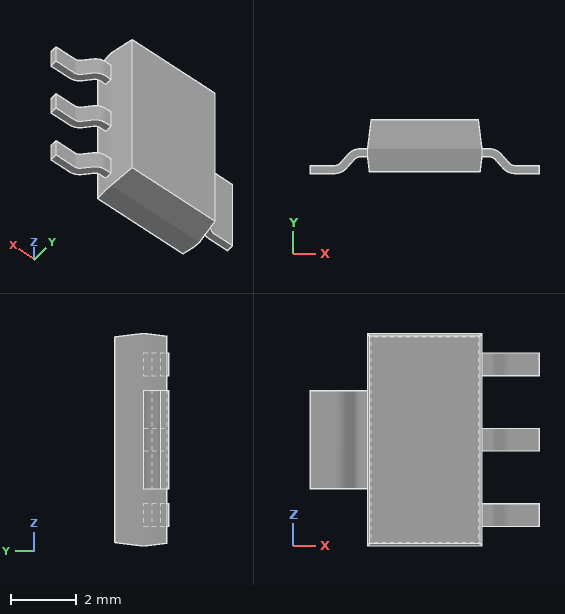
import cadquery as cq
import math

overall_width = 7.0
body_width = 3.5
body_length = 6.5
body_back = 1.65
standoff = 0.055
draft_slope = math.tan(math.radians(7))

lead_thickness = 0.25
lead_back = 0.77
foot_length = 0.735
bend_angle = math.radians(48)
inner_radius = lead_thickness
outer_radius = inner_radius + lead_thickness
lead_embed = 0.14
pin_width = 0.7
pin_pitch = 2.3
tab_width = 3.0

lead_front = lead_back - lead_thickness
lead_tip = overall_width / 2


def tapered_profile(plane, width, band_front, depth):
    """Extrude a section that narrows both ways from a straight band ending at lead_back."""
    half = width / 2
    half_front = half - (band_front - standoff) * draft_slope
    half_back = half - (body_back - lead_back) * draft_slope
    right_side = [(half_front, standoff), (half, band_front)]
    if band_front < lead_back:
        right_side.append((half, lead_back))
    right_side.append((half_back, body_back))
    left_side = [(-across, y) for across, y in reversed(right_side)]
    return cq.Workplane(plane).polyline(right_side + left_side).close().extrude(depth / 2, both=True)


def make_body():
    """Body with a straight lead-thick band on its X sides and a single ridge on its Z ends."""
    end_plane = cq.Plane(origin=(0, 0, 0), xDir=(0, 0, 1), normal=(-1, 0, 0))
    x_sides = tapered_profile("XY", body_width, lead_front, body_length)
    z_ends = tapered_profile(end_plane, body_length, lead_back, body_width)
    return x_sides.intersect(z_ends)


def make_lead(width, z_center):
    """Gull-wing lead on the +X side, from the foot tip into the body."""
    rise = lead_front
    bend_rise = (inner_radius + outer_radius) * (1 - math.cos(bend_angle))
    ramp_run = (rise - bend_rise) / math.tan(bend_angle)
    bend_run = (inner_radius + outer_radius) * math.sin(bend_angle)
    foot_end = lead_tip - foot_length
    shoulder_end = foot_end - ramp_run - bend_run
    inside_x = body_width / 2 - lead_embed

    def foot_point(radius, angle):
        x = foot_end - radius * math.sin(angle)
        return (x, outer_radius - radius * math.cos(angle))

    def shoulder_point(radius, angle):
        x = shoulder_end + radius * math.sin(angle)
        return (x, lead_back - outer_radius + radius * math.cos(angle))

    half_bend = bend_angle / 2
    return (
        cq.Workplane("XY", origin=(0, 0, z_center))
        .moveTo(lead_tip, 0)
        .lineTo(foot_end, 0)
        .threePointArc(foot_point(outer_radius, half_bend), foot_point(outer_radius, bend_angle))
        .lineTo(*shoulder_point(inner_radius, bend_angle))
        .threePointArc(shoulder_point(inner_radius, half_bend), shoulder_point(inner_radius, 0))
        .lineTo(inside_x, lead_front)
        .lineTo(inside_x, lead_back)
        .lineTo(shoulder_end, lead_back)
        .threePointArc(shoulder_point(outer_radius, half_bend), shoulder_point(outer_radius, bend_angle))
        .lineTo(*foot_point(inner_radius, bend_angle))
        .threePointArc(foot_point(inner_radius, half_bend), foot_point(inner_radius, 0))
        .lineTo(lead_tip, lead_thickness)
        .close()
        .extrude(width / 2, both=True)
    )


result = make_body()

for pin_index in (-1, 0, 1):
    result = result.union(make_lead(pin_width, pin_index * pin_pitch))

result = result.union(make_lead(tab_width, 0).mirror("YZ"))